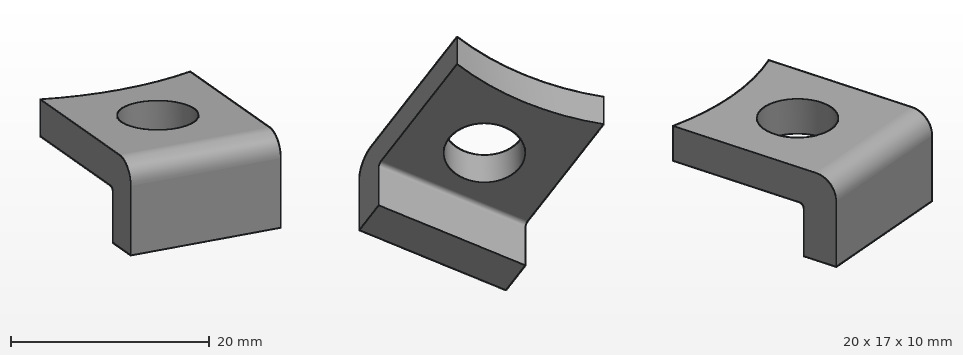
import cadquery as cq

length = 20.02
width = 17.0
height = 10.0

thickness = 4.0
outer_bend_radius = 2.48
inner_bend_radius = 0.5

hole_diameter = 8.2
hole_to_leg_face = 10.61

end_arc_depth = 1.28

half_width = width / 2
plate_underside = height - thickness
leg_inner_face = length - thickness


def bent_plate():
    """L-shaped section with a rounded bend, extruded across the width."""
    section = (
        cq.Workplane("XZ")
        .moveTo(0, height)
        .lineTo(length, height)
        .lineTo(length, 0)
        .lineTo(leg_inner_face, 0)
        .lineTo(leg_inner_face, plate_underside)
        .lineTo(0, plate_underside)
        .close()
    )
    body = section.extrude(half_width, both=True)
    body = body.edges("|Y and >X and >Z").fillet(outer_bend_radius)
    inner_corner = cq.selectors.NearestToPointSelector((leg_inner_face, 0, plate_underside))
    return body.edges("|Y").edges(inner_corner).fillet(inner_bend_radius)


def end_arc_cutter():
    """Segment removed from the free end, leaving its two outer corners at full length."""
    return (
        cq.Workplane("XY")
        .moveTo(0, -half_width)
        .threePointArc((end_arc_depth, 0), (0, half_width))
        .close()
        .extrude(height)
    )


def hole_cutter():
    """Round hole through the plate on the centre line."""
    return (
        cq.Workplane("XY")
        .center(length - hole_to_leg_face, 0)
        .circle(hole_diameter / 2)
        .extrude(height)
    )


result = bent_plate().cut(end_arc_cutter()).cut(hole_cutter())